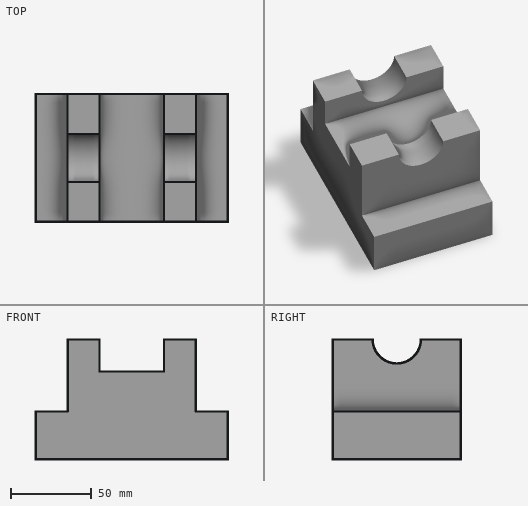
import cadquery as cq

length = 120.0
depth = length * 2 / 3
height = 75.0
base_height = 30.0
ledge_width = length / 6
wall_thickness = length / 6
slot_depth = length / 6
groove_radius = 15.0

block_length = length - 2 * ledge_width
slot_width = block_length - 2 * wall_thickness

base = cq.Workplane("XY").box(length, depth, base_height, centered=(True, True, False))

block = (
    cq.Workplane("XY")
    .workplane(offset=base_height)
    .box(block_length, depth, height - base_height, centered=(True, True, False))
)

slot = (
    cq.Workplane("XY")
    .workplane(offset=height - slot_depth)
    .box(slot_width, depth, slot_depth, centered=(True, True, False))
)

groove = (
    cq.Workplane("YZ")
    .center(0, height)
    .circle(groove_radius)
    .extrude(block_length / 2, both=True)
)

result = base.union(block).cut(slot).cut(groove)